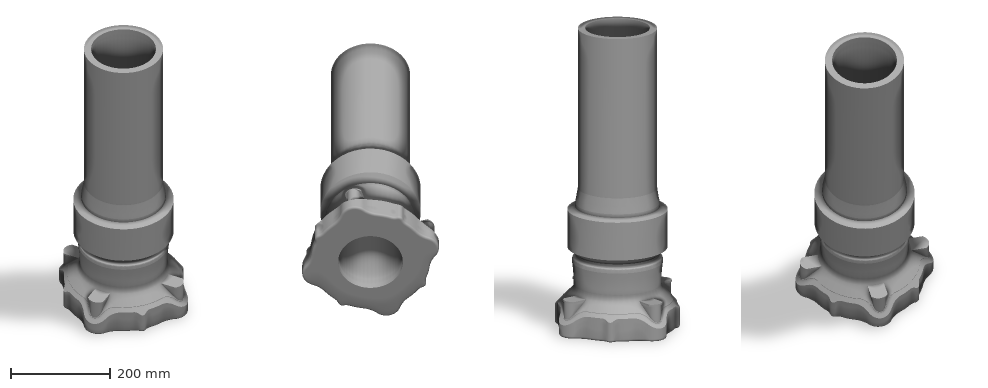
import cadquery as cq
import math

total_height = 625.5
bore_radius = 130.8 / 2
pipe_radius = 160.0 / 2
collar_radius = 170.9 / 2
sleeve_radius = 202.7 / 2
groove_radius = 168.36 / 2

pipe_taper_top_z = 290.5
pipe_taper_bottom_z = 258.5
sleeve_shoulder_z = 251.0
sleeve_top_z = 245.5
sleeve_bottom_z = 166.0
groove_top_z = 153.0

neck_radius = 88.4
bead_radius = 91.9
bead_top_z = 145.8
groove_fillet = 3.0
bead_top_radius = groove_radius + groove_fillet
flare_top_z = 135.8
neck_fillet = 15.5

cone_sum = 170.0
outer_cone_sum = 169.0
cone_corner_z = cone_sum - neck_radius
cone_angle = math.radians(45)
fillet_reach = neck_fillet * math.tan(cone_angle / 2)
fillet_top_z = cone_corner_z + fillet_reach
fillet_bottom_z = cone_corner_z - fillet_reach * math.sin(cone_angle)
fillet_bottom_radius = cone_sum - fillet_bottom_z

lobe_count = 4
lobe_spacing = 360 / lobe_count
rim_radius = 120.3
lobe = (284.76 / 2, 29.5, 23.5)
corner_nose = (126.7, 10.0, 8.6)
bottom_fillet = 5.0

inner_rim_radius = 113.0
inner_lobe = (134.2, 16.0, 19.0)

lug_top_z = 75.4
lug_cap_thickness = 3.4
lug_tip = 133.6
lug_round = 25.5 / 2
lug_taper = math.radians(10)
lug_cap_half_width = 17.0
lug_cap_round = 21.0
lug_bottom_z = 30.0
lug_overlap = 3.0
lug_inner_end = neck_radius - lug_overlap


def polar(radius, angle):
    """Point at the given radius and angle in degrees."""
    turn = math.radians(angle)
    return (radius * math.cos(turn), radius * math.sin(turn))


def toward(start, end, distance):
    """Point at the given distance from start on the way to end."""
    span = math.dist(start, end)
    return tuple(s + (e - s) * distance / span for s, e in zip(start, end))


def blend_points(base_radius, nose, axis, side):
    """Tangent points of the hollow blend joining a nose arc to the base circle.

    Returns the nose end, the middle and the base circle end of the blend.
    """
    tip, nose_round, blend_angle = nose
    center_distance = tip - nose_round
    along = center_distance * math.cos(math.radians(blend_angle))
    gap = base_radius**2 + center_distance**2 - 2 * base_radius * along - nose_round**2
    blend_round = gap / (2 * (nose_round - base_radius + along))
    nose_center = polar(center_distance, axis)
    base_angle = axis + side * blend_angle
    blend_center = polar(base_radius + blend_round, base_angle)
    nose_end = toward(nose_center, blend_center, nose_round)
    base_end = polar(base_radius, base_angle)
    chord_middle = tuple((a + b) / 2 for a, b in zip(nose_end, base_end))
    middle = toward(blend_center, chord_middle, blend_round)
    return nose_end, middle, base_end


def scalloped_outline(base_radius, noses):
    """Closed circle outline with the given noses placed in turn at equal angles."""
    spacing = 360 / len(noses)
    start = blend_points(base_radius, noses[0], 0, -1)[2]
    outline = cq.Workplane("XY").moveTo(*start)
    for i, nose in enumerate(noses):
        axis = i * spacing
        tip, _, blend_angle = nose
        nose_start, middle_in, _ = blend_points(base_radius, nose, axis, -1)
        nose_end, middle_out, base_start = blend_points(base_radius, nose, axis, 1)
        outline = outline.threePointArc(middle_in, nose_start)
        outline = outline.threePointArc(polar(tip, axis), nose_end)
        outline = outline.threePointArc(middle_out, base_start)

        next_blend_angle = noses[(i + 1) % len(noses)][2]
        arc_start = axis + blend_angle
        arc_end = axis + spacing - next_blend_angle
        arc_middle = polar(base_radius, (arc_start + arc_end) / 2)
        outline = outline.threePointArc(arc_middle, polar(base_radius, arc_end))
    return outline.close()


def make_skirt():
    """Scalloped outer skirt under its 45 degree cone, with a rounded bottom edge."""
    cone = (
        cq.Workplane("XZ")
        .lineTo(outer_cone_sum, 0)
        .lineTo(neck_radius, outer_cone_sum - neck_radius)
        .lineTo(0, outer_cone_sum - neck_radius)
        .close()
        .revolve(360, (0, 0), (0, 1))
    )
    rim = scalloped_outline(rim_radius, [lobe, corner_nose] * lobe_count).extrude(total_height)
    rim = rim.faces("<Z").edges().fillet(bottom_fillet)
    return rim.intersect(cone)


def make_upper_body():
    """Solid of revolution: inner cone, neck, bead, groove, sleeve and pipe."""
    groove_bottom_z = bead_top_z + groove_fillet
    diagonal = math.sqrt(0.5)
    upward = (0, 1)
    inward = (-1, 0)
    groove_middle = (
        bead_top_radius - groove_fillet * diagonal,
        groove_bottom_z - groove_fillet * diagonal,
    )
    fillet_middle = (
        neck_radius + neck_fillet * (1 - math.cos(cone_angle / 2)),
        fillet_top_z - neck_fillet * math.sin(cone_angle / 2),
    )
    profile = (
        cq.Workplane("XZ")
        .moveTo(0, lug_bottom_z)
        .lineTo(cone_sum - lug_bottom_z, lug_bottom_z)
        .lineTo(fillet_bottom_radius, fillet_bottom_z)
        .threePointArc(fillet_middle, (neck_radius, fillet_top_z))
        .tangentArcPoint((bead_radius, flare_top_z), relative=False)
        .spline([(bead_top_radius, bead_top_z)], tangents=[upward, inward], includeCurrent=True)
        .threePointArc(groove_middle, (groove_radius, groove_bottom_z))
        .lineTo(groove_radius, groove_top_z)
        .lineTo(sleeve_radius, sleeve_bottom_z)
        .lineTo(sleeve_radius, sleeve_top_z)
        .lineTo(collar_radius, sleeve_shoulder_z)
        .lineTo(collar_radius, pipe_taper_bottom_z)
        .lineTo(pipe_radius, pipe_taper_top_z)
        .lineTo(pipe_radius, total_height)
        .lineTo(0, total_height)
        .close()
    )
    return profile.revolve(360, (0, 0), (0, 1))


def make_lug():
    """Tapered lug with a round tip and a thin overhanging cap, pointing along +X."""
    tip_center = lug_tip - lug_round
    side_start = tip_center + lug_round * math.sin(lug_taper)
    side_half_width = lug_round * math.cos(lug_taper)
    root_half_width = side_half_width + (side_start - lug_inner_end) * math.tan(lug_taper)
    stem = (
        cq.Workplane("XY", origin=(0, 0, lug_bottom_z))
        .moveTo(lug_inner_end, -root_half_width)
        .lineTo(side_start, -side_half_width)
        .threePointArc((lug_tip, 0), (side_start, side_half_width))
        .lineTo(lug_inner_end, root_half_width)
        .close()
        .extrude(lug_top_z - lug_cap_thickness - lug_bottom_z)
    )
    cap_sag = lug_cap_round - math.sqrt(lug_cap_round**2 - lug_cap_half_width**2)
    cap_side_end = lug_tip - cap_sag
    cap = (
        cq.Workplane("XY", origin=(0, 0, lug_top_z - lug_cap_thickness))
        .moveTo(lug_inner_end, -lug_cap_half_width)
        .lineTo(cap_side_end, -lug_cap_half_width)
        .threePointArc((lug_tip, 0), (cap_side_end, lug_cap_half_width))
        .lineTo(lug_inner_end, lug_cap_half_width)
        .close()
        .extrude(lug_cap_thickness)
    )
    return stem.union(cap)


inner_column = scalloped_outline(inner_rim_radius, [inner_lobe] * lobe_count).extrude(total_height)
body = make_skirt().union(make_upper_body().intersect(inner_column))

lug = make_lug()
for i in range(lobe_count):
    body = body.union(lug.rotate((0, 0, 0), (0, 0, 1), i * lobe_spacing))

bore = cq.Workplane("XY").circle(bore_radius).extrude(total_height)
result = body.cut(bore)